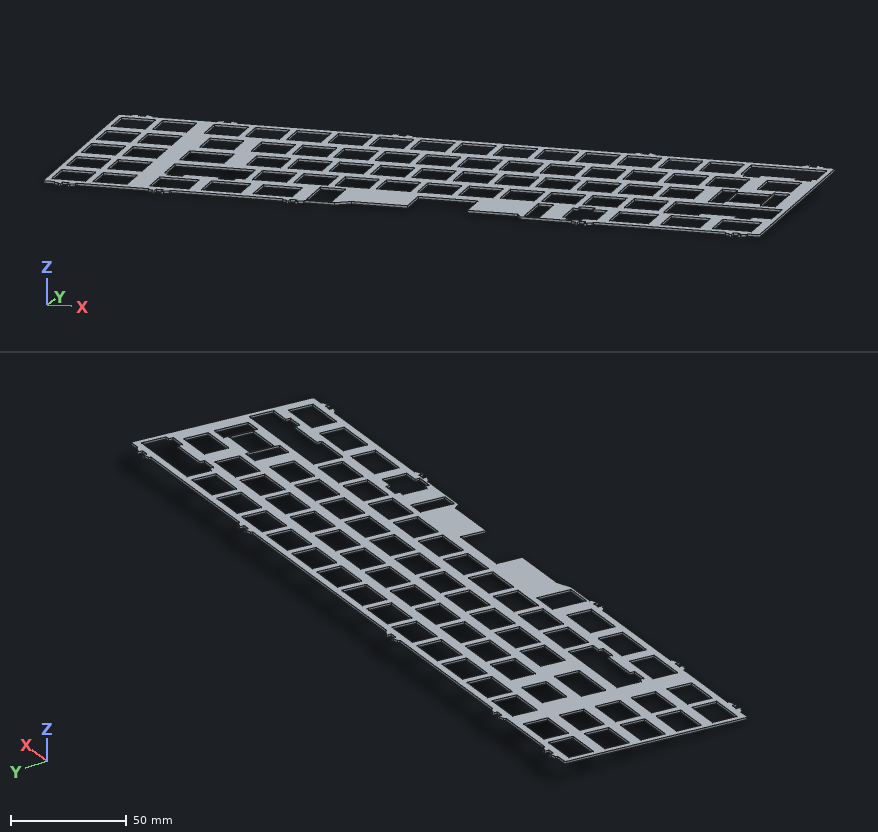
import cadquery as cq

plate_width = 330.5
plate_depth_with_clips = 102.0
plate_thickness = 1.2
tilt_angle = 6.0
plate_corner_radius = 1.0

field_width = 328.5
main_block_keys = 15
main_block_start = 2.25
row_count = 5
number_row, upper_letter_row, home_row, lower_letter_row, space_bar_row = range(row_count)
pitch = field_width / (main_block_start + main_block_keys)
main_block_left = -field_width / 2 + main_block_start * pitch
macro_columns = (-1.75, -0.75)

switch_width = 15.5
switch_height = 13.0

stab_width = 7.0
stab_height = 18.0
stab_offset = 12.0
long_bar_stab_offset = 57.5
short_bar_stab_offset = 50.3

edge_margin = (plate_width - field_width) / 2
plate_depth = row_count * pitch + 2 * edge_margin
top_edge = plate_depth / 2
bottom_edge = -top_edge

recess_depth = 3.3
recess_left = -30.7
recess_right = 55.0
recess_left_slope = 6.5
recess_right_slope = 2.3

clip_length = (plate_depth_with_clips - plate_depth) / 2
clip_base_width = 10.2
clip_shoulder_width = 9.5
clip_shoulder_height = 1.0
clip_prong_start = 1.5
clip_tip_width = 5.3
clip_slot_width = 3.0
top_clip_positions = (-154.7, -115.5, -34.7, 77.5, 154.7)
bottom_clip_positions = (-154.7, -111.5, -49.5, 83.5, 154.7)


def key_x(position):
    """X of a place counted in key pitches along the main block."""
    return main_block_left + position * pitch


def row_y(row):
    """Y of a row centre; row 0 is the top row."""
    return ((row_count - 1) / 2 - row) * pitch


def block(x_min, x_max, y_min, y_max):
    """Rectangular prism through the full plate thickness."""
    return cq.Workplane("XY").box(
        x_max - x_min, y_max - y_min, plate_thickness, centered=False
    ).translate((x_min, y_min, 0))


def switch_opening(row, first, last=None):
    """Switch opening, widened to serve every key centre from first to last."""
    last = first if last is None else last
    y = row_y(row)
    return block(
        key_x(first) - switch_width / 2,
        key_x(last) + switch_width / 2,
        y - switch_height / 2,
        y + switch_height / 2,
    )


def stab_slot(row, x_first, x_last=None):
    """Full-height stabilizer slot serving centres from x_first to x_last."""
    x_last = x_first if x_last is None else x_last
    y = row_y(row)
    return block(
        x_first - stab_width / 2,
        x_last + stab_width / 2,
        y - stab_height / 2,
        y + stab_height / 2,
    )


def stab_notch(row, x_first, x_last=None):
    """Lower half of a stabilizer slot, opening into the switch opening above."""
    x_last = x_first if x_last is None else x_last
    y = row_y(row)
    return block(x_first - stab_width / 2, x_last + stab_width / 2, y - stab_height / 2, y)


def key_run(row, first, count):
    """Single-key openings one pitch apart."""
    return [switch_opening(row, first + i) for i in range(count)]


def number_row_openings():
    backspace_x = key_x(14)
    return key_run(number_row, 0.5, 13) + [
        switch_opening(number_row, 13.5, 14.5),
        stab_notch(number_row, backspace_x - stab_offset),
        stab_notch(number_row, backspace_x + stab_offset),
    ]


def upper_letter_row_openings():
    return key_run(upper_letter_row, 2, 12) + [
        switch_opening(upper_letter_row, 0.75),
        switch_opening(upper_letter_row, 14.25),
    ]


def home_row_openings():
    enter = 13.875
    return key_run(home_row, 2.25, 11) + [
        switch_opening(home_row, 0.625, 0.875),
        switch_opening(home_row, enter),
        stab_slot(home_row, key_x(enter) - stab_offset),
        stab_slot(home_row, key_x(enter) + stab_offset),
    ]


def lower_letter_row_openings():
    left_shift_x = key_x(1.125)
    right_shift_x = key_x(13.625)
    right_opening_start = 12.75
    flush_notch_x = key_x(right_opening_start) - switch_width / 2 + stab_width / 2
    return key_run(lower_letter_row, 2.75, 10) + [
        switch_opening(lower_letter_row, 0.625, 1.75),
        stab_notch(lower_letter_row, left_shift_x - stab_offset),
        stab_notch(lower_letter_row, left_shift_x + stab_offset),
        switch_opening(lower_letter_row, right_opening_start, 14.5),
        stab_notch(lower_letter_row, flush_notch_x, right_shift_x - stab_offset),
        stab_notch(lower_letter_row, right_shift_x + stab_offset),
    ]


def space_bar_row_openings():
    """Openings for both a 6.25-pitch and a 7-pitch space bar layout."""
    short_bar = 6.875
    long_bar = 7.5
    modifier_pairs = (
        (0.625, 0.75),
        (1.875, 2.0),
        (3.125, 3.25),
        (11.75, 11.875),
        (13.0, 13.125),
        (14.25, 14.375),
    )
    modifiers = [switch_opening(space_bar_row, first, last) for first, last in modifier_pairs]
    bar_switch = block(
        key_x(short_bar) - switch_width / 2,
        key_x(long_bar) + switch_width / 2,
        bottom_edge,
        row_y(space_bar_row) + switch_height / 2,
    )
    left_stabs = stab_slot(
        space_bar_row,
        key_x(short_bar) - short_bar_stab_offset,
        key_x(long_bar) - long_bar_stab_offset,
    )
    return modifiers + [
        bar_switch,
        switch_opening(space_bar_row, 10.625),
        left_stabs,
        stab_slot(space_bar_row, key_x(short_bar) + short_bar_stab_offset),
        stab_slot(space_bar_row, key_x(long_bar) + long_bar_stab_offset),
    ]


def macro_column_openings():
    return [switch_opening(row, column) for row in range(row_count) for column in macro_columns]


def base_plate():
    plate = block(-plate_width / 2, plate_width / 2, bottom_edge, top_edge)
    return plate.edges("|Z").fillet(plate_corner_radius)


def space_bar_recess():
    recess_top = bottom_edge + recess_depth
    return cq.Workplane("XY").polyline([
        (recess_left, bottom_edge),
        (recess_right, bottom_edge),
        (recess_right - recess_right_slope, recess_top),
        (recess_left + recess_left_slope, recess_top),
    ]).close().extrude(plate_thickness)


def clip(x, side):
    """Split clip on the top edge (side = 1) or the bottom edge (side = -1)."""
    right_half = [
        (clip_base_width / 2, -edge_margin),
        (clip_base_width / 2, 0),
        (clip_shoulder_width / 2, clip_shoulder_height),
        (clip_tip_width / 2, clip_prong_start),
        (clip_tip_width / 2, clip_length),
        (clip_slot_width / 2, clip_length),
        (clip_slot_width / 2, 0),
    ]
    left_half = [(-px, py) for px, py in reversed(right_half)]
    outline = [(x + px, side * (top_edge + py)) for px, py in right_half + left_half]
    return cq.Workplane("XY").polyline(outline).close().extrude(plate_thickness)


plate = base_plate()
for clip_x in top_clip_positions:
    plate = plate.union(clip(clip_x, 1))
for clip_x in bottom_clip_positions:
    plate = plate.union(clip(clip_x, -1))
plate = plate.cut(space_bar_recess())

for openings in (
    macro_column_openings(),
    number_row_openings(),
    upper_letter_row_openings(),
    home_row_openings(),
    lower_letter_row_openings(),
    space_bar_row_openings(),
):
    for opening in openings:
        plate = plate.cut(opening)

result = plate.rotate((0, 0, 0), (1, 0, 0), tilt_angle)